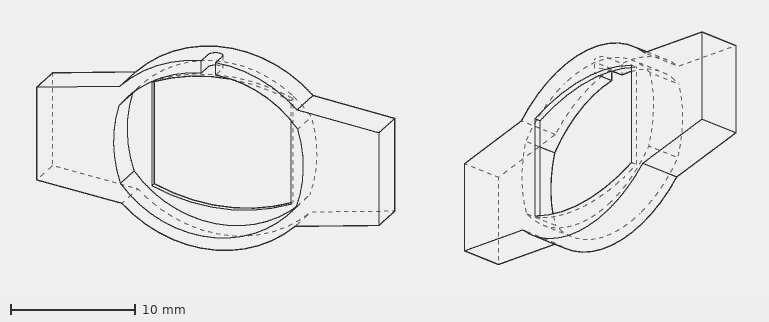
import cadquery as cq

length = 29.5
thickness = 3.6
height = 16.15
half_length = length / 2
half_height = height / 2

wing_mid_z = -0.1
wing_tip_half_height = 3.98
wing_root_half_height = 5.02
upper_root_x = 7.65
lower_root_x = 7.47

ring_x = 0.05

rim_width = 1.05
floor_thickness = 0.53
recess_half_height = half_height - rim_width
recess_half_width = 8.17
upper_corner_x = 7.7
upper_corner_z = 3.28
lower_corner_x = 7.58
lower_corner_z = -3.4

window_half_width = 6.0
window_top_z = 5.6
window_bottom_z = -5.65
window_arc_rise = 1.18

slot_width = 1.25
slot_depth = 2.15


def extrude_back(sketch, depth):
    """Extrude an XZ outline from Y = 0 towards +Y."""
    return sketch.close().extrude(-depth)


def make_body():
    tip_top = wing_mid_z + wing_tip_half_height
    tip_bottom = wing_mid_z - wing_tip_half_height
    root_top = wing_mid_z + wing_root_half_height
    root_bottom = wing_mid_z - wing_root_half_height
    outline = (
        cq.Workplane("XZ")
        .moveTo(-half_length, tip_bottom)
        .lineTo(-half_length, tip_top)
        .lineTo(ring_x - upper_root_x, root_top)
        .threePointArc((ring_x, half_height), (ring_x + upper_root_x, root_top))
        .lineTo(half_length, tip_top)
        .lineTo(half_length, tip_bottom)
        .lineTo(ring_x + lower_root_x, root_bottom)
        .threePointArc((ring_x, -half_height), (ring_x - lower_root_x, root_bottom))
    )
    return extrude_back(outline, thickness)


def make_recess():
    side_mid_z = (upper_corner_z + lower_corner_z) / 2
    outline = (
        cq.Workplane("XZ")
        .moveTo(-upper_corner_x, upper_corner_z)
        .threePointArc((0, recess_half_height), (upper_corner_x, upper_corner_z))
        .threePointArc((recess_half_width, side_mid_z), (lower_corner_x, lower_corner_z))
        .threePointArc((0, -recess_half_height), (-lower_corner_x, lower_corner_z))
        .threePointArc((-recess_half_width, side_mid_z), (-upper_corner_x, upper_corner_z))
    )
    return extrude_back(outline, thickness - floor_thickness)


def make_window():
    corner_top = window_top_z - window_arc_rise
    corner_bottom = window_bottom_z + window_arc_rise
    outline = (
        cq.Workplane("XZ")
        .moveTo(-window_half_width, corner_top)
        .threePointArc((0, window_top_z), (window_half_width, corner_top))
        .lineTo(window_half_width, corner_bottom)
        .threePointArc((0, window_bottom_z), (-window_half_width, corner_bottom))
    )
    return extrude_back(outline, thickness)


def make_rim_slot():
    radius = slot_width / 2
    straight_end = slot_depth - radius
    return (
        cq.Workplane("XY")
        .moveTo(-radius, 0)
        .lineTo(-radius, straight_end)
        .threePointArc((0, slot_depth), (radius, straight_end))
        .lineTo(radius, 0)
        .close()
        .extrude(half_height)
    )


ring_cuts = make_recess().union(make_rim_slot()).translate((ring_x, 0, 0))
result = make_body().cut(ring_cuts).cut(make_window())